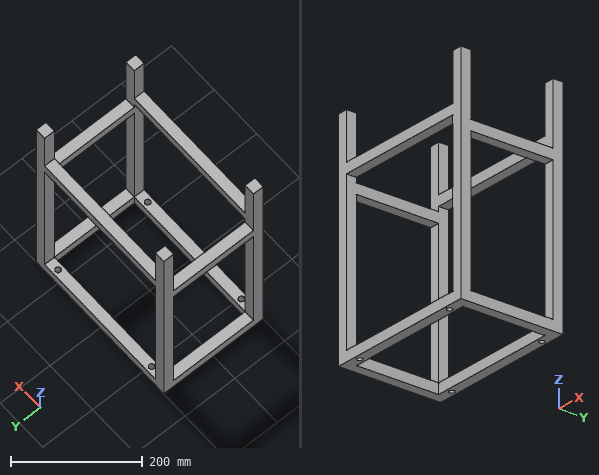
import cadquery as cq

width = 300.0
depth = 200.0
height = 430.0

bar = depth / 10
long_rail_top = 340.0
short_rail_top = 311.5

hole_diameter = 10.0
hole_end_distance = 40.0

bar_x = (width - bar) / 2
bar_y = (depth - bar) / 2
hole_x = width / 2 - hole_end_distance


def square_posts():
    """Four full-height corner posts."""
    return (
        cq.Workplane("XY")
        .rect(2 * bar_x, 2 * bar_y, forConstruction=True)
        .vertices()
        .rect(bar, bar)
        .extrude(height)
    )


def long_rails(top):
    """Front and back rails along X with their top faces at the given height."""
    return (
        cq.Workplane("XY", origin=(0, 0, top - bar))
        .pushPoints([(0, -bar_y), (0, bar_y)])
        .rect(width, bar)
        .extrude(bar)
    )


def short_rails(top):
    """Left and right rails along Y with their top faces at the given height."""
    return (
        cq.Workplane("XY", origin=(0, 0, top - bar))
        .pushPoints([(-bar_x, 0), (bar_x, 0)])
        .rect(bar, depth)
        .extrude(bar)
    )


def mounting_holes():
    """Vertical hole cutters near the ends of the bottom long rails."""
    return (
        cq.Workplane("XY")
        .rect(2 * hole_x, 2 * bar_y, forConstruction=True)
        .vertices()
        .circle(hole_diameter / 2)
        .extrude(bar)
    )


frame = square_posts()
for rails in (
    long_rails(bar),
    short_rails(bar),
    long_rails(long_rail_top),
    short_rails(short_rail_top),
):
    frame = frame.union(rails)

result = frame.cut(mounting_holes())